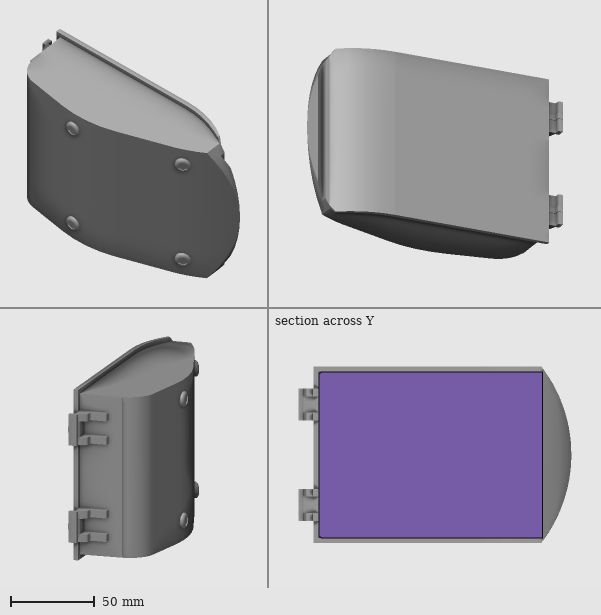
import cadquery as cq
import math


rim_height = 105.0
rim_thickness = 3.0
rim_left = 9.0
rim_margin = 3.0
curve_start_x = 110.6
back_curve_radius = 60.0
rim_front_arc_end = (139.3, -9.7)
rim_front_slope = 0.49

body_height = rim_height - 2 * rim_margin
body_left = rim_left + rim_margin
corner_start = (13.3, -30.0)
corner_mid = (17.3, -39.2)
corner_end = (27.3, -44.4)
belly_start = (53.5, -48.9)
belly_mid = (66.7, -50.0)
belly_end = (92.2, -46.0)
nose_start = (129.8, -33.4)
nose_mid = (147.0, -24.8)

tip_x = 162.5
tip_y = -12.8
tip_radius = 86.0
groove_left = 150.4
groove_right = 155.3
groove_bottom = -16.6

panel_end_gap = 0.5
panel_height = body_height - 2 * panel_end_gap
panel_depth = 30.0

hinge_centers_z = (-29.9, 29.9)
hinge_width = 19.1
hinge_gap = 9.8
hook_thickness = 3.0
hook_bottom = -5.3
hook_floor = -3.5
web_bottom = -6.0
hook_back_x = 2.7
web_left = 3.0
rib_left = 8.5
rib_shoulder_y = -10.7
rib_foot_y = -21.1
shoulder_radius = 1.1
heel_end_x = 5.7
heel_start = (4.1, -9.3)
throat_mid = (3.3, -7.4)
detent_width = 3.3
detent_height = 0.5

screw_centers_z = (-37.4, 37.4)
head_diameter = 10.0
head_dome_height = 1.3
head_length = 4.0
hex_diameter = 5.9
hex_depth = 0.6
screw_rows = (
    ((63.4, -52.0), 0.0),
    ((135.2, -33.4), 35.0),
)


def prism(outline, height, center_z=0.0):
    """Extrude an XY outline along Z, symmetric about center_z."""
    return outline.extrude(height / 2, both=True).translate((0, 0, center_z))


def rectangle_prism(x_min, y_min, x_max, y_max, height, center_z=0.0):
    """Rectangular block between two XY corners, symmetric about center_z."""
    outline = (
        cq.Workplane("XY")
        .center((x_min + x_max) / 2, (y_min + y_max) / 2)
        .rect(x_max - x_min, y_max - y_min)
    )
    return prism(outline, height, center_z)


def back_curve_point(x):
    """Point on the rounded back, tangent to the flat back at curve_start_x."""
    run = x - curve_start_x
    return (x, math.sqrt(back_curve_radius**2 - run**2) - back_curve_radius)


back_end_run = math.sqrt(back_curve_radius**2 - (back_curve_radius + tip_y) ** 2)
back_end_x = curve_start_x + back_end_run
back_mid = back_curve_point(curve_start_x + back_end_run / 2)


def make_rim():
    rim_front_y = -rim_thickness
    front_end_y = rim_front_arc_end[1] - rim_front_slope * (back_end_x - rim_front_arc_end[0])
    outline = (
        cq.Workplane("XY")
        .moveTo(rim_left, 0)
        .lineTo(curve_start_x, 0)
        .threePointArc(back_mid, (back_end_x, tip_y))
        .lineTo(back_end_x, front_end_y)
        .lineTo(*rim_front_arc_end)
        .tangentArcPoint((curve_start_x, rim_front_y), relative=False)
        .lineTo(rim_left, rim_front_y)
        .close()
    )
    return prism(outline, rim_height)


def make_body():
    outline = (
        cq.Workplane("XY")
        .moveTo(body_left, 0)
        .lineTo(curve_start_x, 0)
        .threePointArc(back_mid, (back_end_x, tip_y))
        .lineTo(groove_left, tip_y)
        .lineTo(groove_left, groove_bottom)
        .lineTo(groove_right, tip_y)
        .lineTo(tip_x, tip_y)
        .threePointArc(nose_mid, nose_start)
        .lineTo(*belly_end)
        .threePointArc(belly_mid, belly_start)
        .lineTo(*corner_end)
        .threePointArc(corner_mid, corner_start)
        .lineTo(body_left, -rim_thickness)
        .close()
    )
    return prism(outline, body_height)


def make_panel():
    return rectangle_prism(body_left, -panel_depth, corner_start[0], 0, panel_height)


def make_tip_envelope():
    """Rounded end seen along Y, used to trim the rim and the body."""
    arc_end_x = tip_x - tip_radius + math.sqrt(tip_radius**2 - (rim_height / 2) ** 2)
    half_height = rim_height / 2
    outline = (
        cq.Workplane("XZ")
        .moveTo(0, -half_height)
        .lineTo(arc_end_x, -half_height)
        .threePointArc((tip_x, 0), (arc_end_x, half_height))
        .lineTo(0, half_height)
        .close()
    )
    return outline.extrude(rim_height, both=True)


def make_hinge(center_z):
    """Hook on two ribs, with a thin web between the ribs and a small detent on the hook."""
    ribs_outline = (
        cq.Workplane("XY")
        .lineTo(hook_thickness, 0)
        .lineTo(hook_thickness, hook_floor)
        .lineTo(rim_left, hook_floor)
        .lineTo(rim_left, -rim_thickness)
        .lineTo(body_left, -rim_thickness)
        .lineTo(body_left, rib_foot_y)
        .lineTo(rib_left, rib_foot_y)
        .lineTo(rib_left, rib_shoulder_y - shoulder_radius)
        .tangentArcPoint((-shoulder_radius, shoulder_radius))
        .lineTo(heel_end_x, rib_shoulder_y)
        .tangentArcPoint(heel_start, relative=False)
        .threePointArc(throat_mid, (hook_back_x, hook_bottom))
        .lineTo(0, hook_bottom)
        .close()
    )
    gap_cut = rectangle_prism(web_left, rib_foot_y, body_left, web_bottom, hinge_gap, center_z)
    throat_cut = rectangle_prism(0, rib_foot_y, web_left, hook_bottom, hinge_gap, center_z)
    detent_outline = (
        cq.Workplane("XY")
        .moveTo(detent_height, hook_floor - detent_height)
        .lineTo(detent_height, detent_height)
        .lineTo(hook_thickness + detent_height, detent_height)
        .lineTo(hook_thickness + detent_height, hook_floor + detent_height)
        .lineTo(rim_left, hook_floor + detent_height)
        .lineTo(rim_left, hook_floor - detent_height)
        .close()
    )
    hinge = prism(ribs_outline, hinge_width, center_z).cut(gap_cut).cut(throat_cut)
    return hinge.union(prism(detent_outline, detent_width, center_z))


def make_screw_head():
    """Button head with its flat top at the origin, facing -Y."""
    head_radius = head_diameter / 2
    profile = (
        cq.Workplane("XY")
        .lineTo(hex_diameter / 2, 0)
        .tangentArcPoint((head_radius, head_dome_height), relative=False)
        .lineTo(head_radius, head_length)
        .lineTo(0, head_length)
        .close()
    )
    return profile.revolve(360, (0, 0, 0), (0, 1, 0))


def make_hex_socket():
    """Hexagonal socket with two corners along Z."""
    socket = cq.Workplane("XZ").polygon(6, hex_diameter).extrude(-hex_depth)
    return socket.rotate((0, 0, 0), (0, 1, 0), 90)


def place_on_top(tool, top, tilt, center_z):
    """Tilt a screw shape about Z, then move its origin to the screw top."""
    return tool.rotate((0, 0, 0), (0, 0, 1), tilt).translate((*top, center_z))


result = make_rim().union(make_body()).union(make_panel()).intersect(make_tip_envelope())

for z in hinge_centers_z:
    result = result.union(make_hinge(z))

for screw_top, screw_tilt in screw_rows:
    for z in screw_centers_z:
        result = result.union(place_on_top(make_screw_head(), screw_top, screw_tilt, z))
        result = result.cut(place_on_top(make_hex_socket(), screw_top, screw_tilt, z))